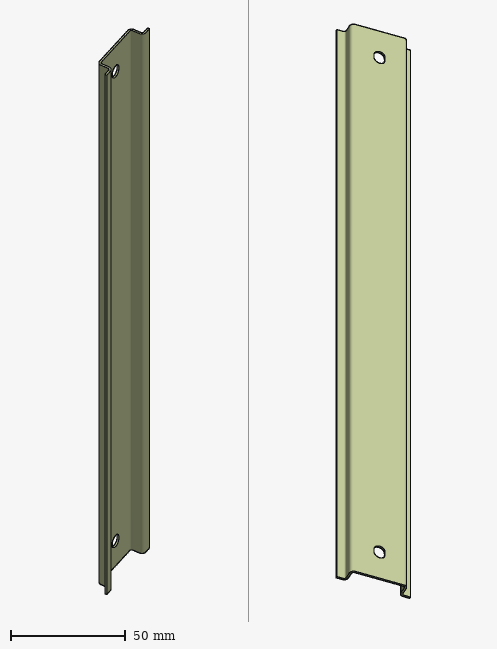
import cadquery as cq

length = 310.0
rail_width = 35.0
rail_depth = 7.5
web_width = 27.0
thickness = 1.0
inner_bend_radius = 1.0
outer_bend_radius = inner_bend_radius + thickness

slot_length = 6.5
slot_width = 5.3
slot_end_distance = 15.0


def box_between(x_min, x_max, width):
    """Full-length block between two X planes, centred on Y."""
    block = cq.Workplane("XY").box(x_max - x_min, width, length)
    return block.translate(((x_min + x_max) / 2, 0, 0))


def round_bends(body, x, half_width, radius):
    """Round the two mirrored lengthwise edges at the given X and half width."""
    tolerance = thickness / 10
    for y in (-half_width, half_width):
        corner = cq.selectors.BoxSelector(
            (x - tolerance, y - tolerance, -length),
            (x + tolerance, y + tolerance, length),
        )
        body = body.edges("|Z").edges(corner).fillet(radius)
    return body


def make_rail():
    """Sharp-cornered hat section with its eight bend edges rounded."""
    back = -rail_depth / 2
    front = rail_depth / 2
    outer_half = web_width / 2
    inner_half = outer_half - thickness
    channel = box_between(back, front, web_width)
    flanges = box_between(front - thickness, front, rail_width)
    hollow = box_between(back + thickness, front, 2 * inner_half)
    rail = channel.union(flanges).cut(hollow)

    rail = round_bends(rail, back, outer_half, outer_bend_radius)
    rail = round_bends(rail, back + thickness, inner_half, inner_bend_radius)

    rail = round_bends(rail, front, inner_half, outer_bend_radius)
    rail = round_bends(rail, front - thickness, outer_half, inner_bend_radius)
    return rail


def make_slots():
    """Cutters for the slot near each end of the web."""
    slot_z = length / 2 - slot_end_distance
    return (
        cq.Workplane("YZ")
        .pushPoints([(0, -slot_z), (0, slot_z)])
        .slot2D(slot_length, slot_width, angle=90)
        .extrude(rail_depth, both=True)
    )


result = make_rail().cut(make_slots())